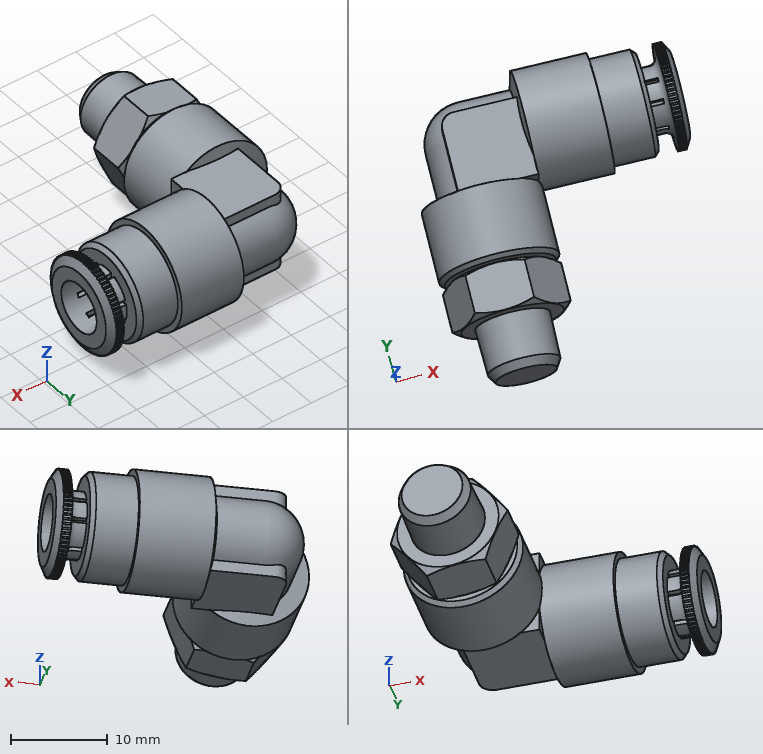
import cadquery as cq
import math


neck_radius = 4.5
block_height = 10.02
block_overhang = 2.47
block_corner_radius = 1.5

collar_radius = 6.4
collar_start = 6.02
collar_end = 14.05
cone_length = 0.5
collar_chamfer = 0.48

sleeve_radius = 5.7
sleeve_end = 19.02
sleeve_chamfer = 0.5
collet_radius = 3.58
collet_bore_radius = 3.0
flare_radius = 0.95
rim_radius = 5.7
rim_start = 21.0
rim_end = 22.5
rim_chamfer = 0.63
rim_chamfer_angle = 60
slot_width = 0.48
slot_offset = 1.17
slot_end = 20.5
tooth_count = 72
groove_width = 0.3
groove_depth = 0.1

joint_radius = 4.8
hex_start = 14.23
hex_length = 5.15
hex_across_flats = 11.0
hex_turn = 7.8
hex_bevel_radius = 5.45
hex_bevel_angle = 30
stud_end = 25.3
stud_base_radius = 4.0
stud_tip_radius = 3.87
stud_chamfer_length = 0.95
stud_face_radius = 3.25


def turned(outline):
    """Solid of revolution about X from an outline closed along the axis."""
    return outline.close().revolve(360, (0, 0, 0), (1, 0, 0))


def onto_stud_leg(solid):
    """Swing a solid built along +X round to -Y."""
    return solid.rotate((0, 0, 0), (0, 0, 1), -90)


def make_collar(end_chamfer):
    """Neck from the elbow centre, widened by a short cone to the collar; end_chamfer may be 0."""
    outline = (
        cq.Workplane("XY")
        .lineTo(0, neck_radius)
        .lineTo(collar_start - cone_length, neck_radius)
        .lineTo(collar_start, collar_radius)
        .lineTo(collar_end - end_chamfer, collar_radius)
    )
    if end_chamfer > 0:
        outline = outline.lineTo(collar_end, collar_radius - end_chamfer)
    return turned(outline.lineTo(collar_end, 0))


def make_elbow():
    """Ball corner with a flat-faced block filling the inside of the bend."""
    block_side = block_overhang + collar_start
    block = (
        cq.Workplane("XY")
        .box(block_side, block_side, block_height)
        .edges("|Z and <X and >Y")
        .fillet(block_corner_radius)
        .translate((collar_start - block_side / 2, block_side / 2 - collar_start, 0))
    )
    return cq.Workplane("XY").sphere(neck_radius).union(block)


def make_sleeve():
    return (
        cq.Workplane("YZ", origin=(collar_end, 0, 0))
        .circle(sleeve_radius)
        .extrude(sleeve_end - collar_end)
        .faces(">X")
        .chamfer(sleeve_chamfer)
    )


def make_collet():
    """Tube that flares into a bevelled rim."""
    arc_middle = flare_radius * math.sqrt(0.5)
    flare_start = rim_start - flare_radius
    rim_face_radius = rim_radius - rim_chamfer * math.tan(math.radians(rim_chamfer_angle))
    return turned(
        cq.Workplane("XY")
        .moveTo(sleeve_end, 0)
        .lineTo(sleeve_end, collet_radius)
        .lineTo(flare_start, collet_radius)
        .threePointArc(
            (flare_start + arc_middle, collet_radius + flare_radius - arc_middle),
            (rim_start, collet_radius + flare_radius),
        )
        .lineTo(rim_start, rim_radius)
        .lineTo(rim_end - rim_chamfer, rim_radius)
        .lineTo(rim_end, rim_face_radius)
        .lineTo(rim_end, 0)
    )


def make_collet_slots():
    """Two slots across the collet in Y and two in Z."""
    slot_length = slot_end - sleeve_end
    slot_middle = sleeve_end + slot_length / 2
    slot_reach = 2 * rim_radius
    slots = cq.Workplane("XY")
    for offset in (-slot_offset, slot_offset):
        along_z = cq.Workplane("XY").box(slot_length, slot_width, slot_reach)
        along_y = cq.Workplane("XY").box(slot_length, slot_reach, slot_width)
        slots = slots.union(along_z.translate((slot_middle, offset, 0)))
        slots = slots.union(along_y.translate((slot_middle, 0, offset)))
    return slots


def make_knurl_grooves():
    """Axial grooves around the rim; each cutter is centred on the rim surface."""
    return (
        cq.Workplane("YZ", origin=(rim_start, 0, 0))
        .polarArray(rim_radius, 0, 360, tooth_count)
        .rect(2 * groove_depth, groove_width)
        .extrude(rim_end - rim_start)
    )


def make_collet_bore():
    """Tube passage, open at the rim and ending level with the sleeve end."""
    return (
        cq.Workplane("YZ", origin=(sleeve_end, 0, 0))
        .circle(collet_bore_radius)
        .extrude(rim_end - sleeve_end)
    )


def make_hexagon():
    """Hexagon with both ends bevelled, plus the short joint to the collar."""
    corner_radius = hex_across_flats / math.sqrt(3)
    bevel_depth = (corner_radius - hex_bevel_radius) * math.tan(math.radians(hex_bevel_angle))
    hex_end = hex_start + hex_length
    prism = (
        cq.Workplane("YZ", origin=(hex_start, 0, 0))
        .polygon(6, 2 * corner_radius)
        .extrude(hex_length)
        .rotate((0, 0, 0), (1, 0, 0), hex_turn)
    )
    bevel_envelope = turned(
        cq.Workplane("XY")
        .moveTo(hex_start, 0)
        .lineTo(hex_start, hex_bevel_radius)
        .lineTo(hex_start + bevel_depth, corner_radius)
        .lineTo(hex_end - bevel_depth, corner_radius)
        .lineTo(hex_end, hex_bevel_radius)
        .lineTo(hex_end, 0)
    )
    joint = (
        cq.Workplane("YZ", origin=(collar_end, 0, 0))
        .circle(joint_radius)
        .extrude(hex_start - collar_end)
    )
    return prism.intersect(bevel_envelope).union(joint)


def make_stud():
    """Tapered stud with a chamfered tip."""
    stud_start = hex_start + hex_length
    return turned(
        cq.Workplane("XY")
        .moveTo(stud_start, 0)
        .lineTo(stud_start, stud_base_radius)
        .lineTo(stud_end - stud_chamfer_length, stud_tip_radius)
        .lineTo(stud_end, stud_face_radius)
        .lineTo(stud_end, 0)
    )


collet = (
    make_collet()
    .cut(make_collet_slots())
    .cut(make_knurl_grooves())
    .cut(make_collet_bore())
)
tube_leg = make_collar(0).union(make_sleeve()).union(collet)
stud_leg = make_collar(collar_chamfer).union(make_hexagon()).union(make_stud())

result = make_elbow().union(tube_leg).union(onto_stud_leg(stud_leg))